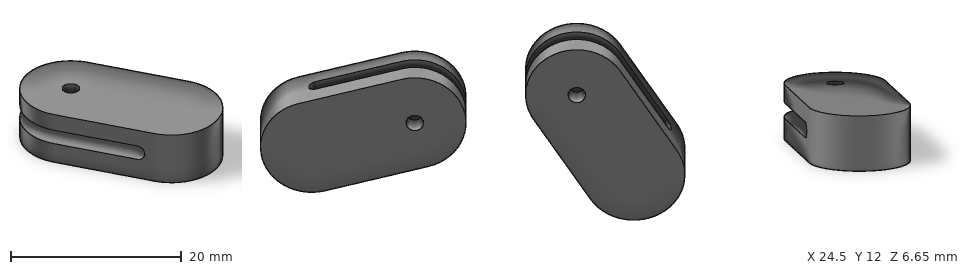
import cadquery as cq

length = 24.5
width = 12.0
height = 6.65
end_radius = width / 2

lower_jaw = 2.6
upper_jaw = 2.18
slot_height = height - lower_jaw - upper_jaw
slot_radius = slot_height / 2
slot_depth = 17.25

hole_diameter = 2.0
hole_x = -length / 2 + end_radius


def make_body():
    return cq.Workplane("XY").slot2D(length, width).extrude(height)


def make_slot():
    open_x = -length / 2
    bottom_x = open_x + slot_depth
    round_start_x = bottom_x - slot_radius
    slot_top = lower_jaw + slot_height
    return (
        cq.Workplane("XZ")
        .moveTo(open_x, lower_jaw)
        .lineTo(round_start_x, lower_jaw)
        .threePointArc((bottom_x, lower_jaw + slot_radius), (round_start_x, slot_top))
        .lineTo(open_x, slot_top)
        .close()
        .extrude(width / 2, both=True)
    )


def make_pin_hole():
    return cq.Workplane("XY").center(hole_x, 0).circle(hole_diameter / 2).extrude(height)


result = make_body().cut(make_slot()).cut(make_pin_hole())